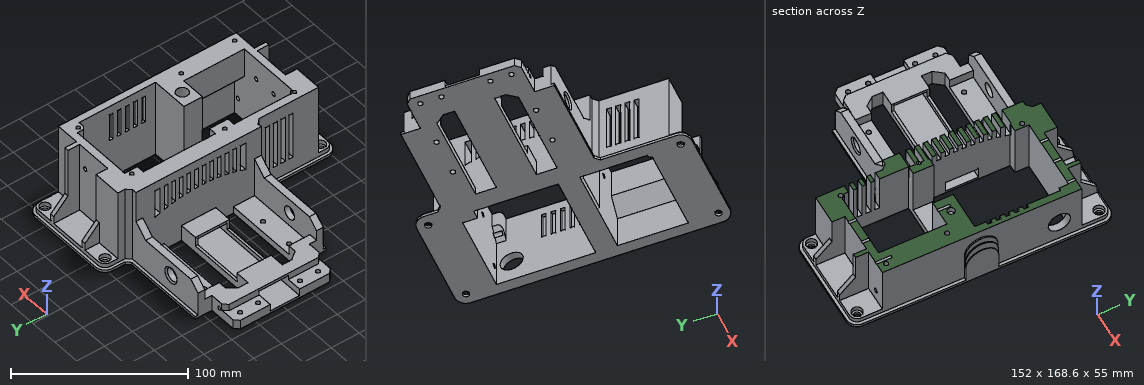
import cadquery as cq
import math

total_length = 152.0
total_width = 168.63
total_height = 55.0
flange_width = 2.0
flange_height = 2.0
foot_plate_height = 5.0
foot_depth = 10.2
overhang = foot_depth + flange_width

tower_left = 85.0
tower_right = total_length - flange_width
tower_back = 53.35
tower_front = tower_back + 2 * overhang - total_width
plate_back = tower_back + foot_depth
plate_front = tower_front - foot_depth
plate_corner_radius = 5.0
bay_left = 79.0
bay_half_width = 45.0
bay_corner_chamfer = 3.0
flange_corner_chamfer = 2.8

recess_depth = 8.3
recess_left = 104.8
rib_thickness = 2.9
middle_rib_left = 130.5
rib_slope = 10.2
rib_foot_height = 10.2

pocket_left = 90.3
large_pocket_right = 145.1
large_pocket_back = 39.9
large_pocket_front = -20.9
small_pocket_right = 136.2
small_pocket_back = -34.2
small_pocket_front = -77.6
undercut_top = 34.0
undercut_slope_bottom = 23.6
bridge_left = 95.8
bridge_right = 119.2
corner_pad_front = 30.8
hanging_boss_left = 139.0
hanging_boss_front = 33.9
hanging_boss_bottom_left = 44.2
hanging_boss_bottom_right = 35.8
hanging_boss_radius = 3.0
corner_post_radius = 2.2

arm_left = 22.2
arm_thickness = 4.9
arm_inner_y = bay_half_width - arm_thickness
arm_height = 24.8
arm_tip_height = 18.8
arm_tip_run = 6.6
arm_shoulder_start = 70.2
arm_shoulder_height = 33.0
arm_hole_x = 47.0
arm_hole_z = 14.6
arm_hole_diameter = 9.0
arm_hole_rim_diameter = 11.0
arm_hole_rim_depth = 1.0

nose_half_width = 35.0
nose_height = 6.7
nose_chamfer = 3.0
bar_left = 10.25
bar_right = 28.3
bar_height = 11.5
floor_height = 5.0
slot_left = 18.1
slot_inner_y = 12.3
slot_outer_y = 24.95
slot_chamfer_x = 4.5
slot_chamfer_y = 5.8
channel_half_width = 10.5
channel_floor = 1.8
channel_roof = 9.6
tray_end = 66.3
nose_hole_x = 5.4
nose_hole_ys = (27.9, 15.0)
nose_hole_diameter = 2.9
nose_side_hole_x = 15.6
nose_side_hole_z = 6.5
nose_side_hole_diameter = 2.4
nose_side_hole_depth = 2.0
floor_hole_xs = (35.2, 59.0)
floor_hole_y = 30.5
floor_hole_diameter = 3.0

foot_hole_diameter = 4.0
foot_counterbore_diameter = 6.8
foot_counterbore_depth = 3.0
screw_hole_diameter = 2.8
screw_hole_depth = 10.0
lid_hole_diameter = 2.6
lid_hole_depth = 20.0
drill_tip_angle = 118.0
lid_hole_positions = (
    (93.0, 37.0),
    (90.3, -27.6),
    (142.1, -37.0),
    (90.3, -77.6),
    (145.1, -77.6),
)
boss_hole_x = 142.1
boss_hole_y = 37.0
boss_hole_depth = 8.0
end_hole_positions = ((109.5, 39.7), (125.4, 39.7), (142.1, 39.7), (142.1, 13.0))
divider_hole_depth = 8.0
post_hole_x = 129.2
post_hole_y = -27.6
post_hole_diameter = 8.0
post_hole_depth = 10.0
post_pilot_diameter = 4.4
post_pilot_depth = 20.0

vent_width = 2.55
bay_vent_count = 12
bay_vent_pitch = 5.47
bay_vent_centre_y = -1.2
bay_vent_top = 48.5
bay_vent_end_bottom = 28.4
bay_vent_middle_bottom = 34.4
end_vent_extra_width = 1.25
side_vent_count = 4
side_vent_pitch = 5.6
side_vent_first_y = -54.2
side_vent_width = 3.0
side_vent_bottom = 12.0
side_vent_top = 45.4
rear_vent_count = 5
rear_vent_pitch = 5.8
rear_vent_first_y = 10.9
rear_vent_bottom = 29.1
rear_vent_top = 48.4
rear_vent_depth = 2.0
cable_hole_y = 30.6
cable_hole_z = 16.3
cable_hole_diameter = 14.0

arch_centre_y = -19.7
arch_radius = 10.5
arch_steps = ((0.9, 32.8), (1.6, 28.6), (flange_width, 23.6))


def box(x0, x1, y0, y1, z0, z1):
    """Block between two opposite corners."""
    return cq.Workplane("XY").box(x1 - x0, y1 - y0, z1 - z0, centered=False).translate((x0, y0, z0))


def prism_z(points, z0, z1):
    """Outline in XY, raised from z0 to z1."""
    return cq.Workplane("XY", origin=(0, 0, z0)).polyline(points).close().extrude(z1 - z0)


def prism_y(points, y0, y1):
    """Outline in XZ, swept from y0 to y1."""
    return cq.Workplane("XZ", origin=(0, y0, 0)).polyline(points).close().extrude(y0 - y1)


def prism_x(points, x0, x1):
    """Outline in YZ, swept from x0 to x1."""
    return cq.Workplane("YZ", origin=(x0, 0, 0)).polyline(points).close().extrude(x1 - x0)


def cylinder_z(x, y, diameter, z0, z1):
    return cq.Workplane("XY", origin=(x, y, z0)).circle(diameter / 2).extrude(z1 - z0)


def cylinder_y(x, z, diameter, y0, y1):
    return cq.Workplane("XZ", origin=(x, y0, z)).circle(diameter / 2).extrude(y0 - y1)


def cone_z(diameter, tip_diameter, length):
    """Cone or frustum standing on Z = 0 and narrowing downwards."""
    down = cq.Vector(0, 0, -1)
    return cq.Workplane(cq.Solid.makeCone(diameter / 2, tip_diameter / 2, length, dir=down))


def drill_tip(diameter):
    """Conical end of a drilled hole, its base at the origin and its point below."""
    length = diameter / 2 / math.tan(math.radians(drill_tip_angle / 2))
    return cone_z(diameter, 0, length)


def mirrored(shape):
    """The shape together with its mirror image across Y = 0."""
    return shape.union(shape.mirror("XZ"))


def inner_corners(wall_x, half_width, leg, height):
    """Chamfer wedges where the arms meet the tower."""
    wedge = prism_z(
        [(wall_x, half_width), (wall_x, half_width + leg), (wall_x - leg, half_width)], 0, height
    )
    return mirrored(wedge)


def make_base():
    """Foot plate of the tower with the low flange around it."""
    flange = box(
        tower_left - flange_width,
        total_length,
        plate_front - flange_width,
        plate_back + flange_width,
        0,
        flange_height,
    )
    flange = flange.edges("|Z").fillet(plate_corner_radius + flange_width)
    plate = box(tower_left, tower_right, plate_front, plate_back, 0, foot_plate_height)
    plate = plate.edges("|Z").fillet(plate_corner_radius)
    arm_flange_half_width = bay_half_width + flange_width
    arm_flange = box(
        arm_left, tower_left, -arm_flange_half_width, arm_flange_half_width, 0, flange_height
    )
    flange_corner = inner_corners(
        tower_left - flange_width, arm_flange_half_width, flange_corner_chamfer, flange_height
    )
    return flange.union(plate).union(arm_flange).union(flange_corner)


def make_tower():
    """Solid tower with recessed end walls, the bay towards the arms and the end ribs."""
    recess_back = tower_back - recess_depth
    recess_front = tower_front + recess_depth
    tower = box(tower_left, tower_right, recess_front, recess_back, 0, total_height)
    tower = tower.union(box(tower_left, recess_left, tower_front, tower_back, 0, total_height))
    tower = tower.union(box(bay_left, tower_left, -bay_half_width, bay_half_width, 0, total_height))
    tower = tower.union(inner_corners(tower_left, bay_half_width, bay_corner_chamfer, total_height))
    rib_right = middle_rib_left + rib_thickness
    tower = tower.union(box(middle_rib_left, rib_right, tower_front, tower_back, 0, total_height))
    for rib_left in (recess_left - rib_thickness, middle_rib_left):
        for wall_y, direction in ((tower_back, 1), (tower_front, -1)):
            tip_y = wall_y + direction * foot_depth
            outline = [
                (wall_y, 0),
                (tip_y, 0),
                (tip_y, rib_foot_height),
                (wall_y, rib_foot_height + rib_slope),
            ]
            tower = tower.union(prism_x(outline, rib_left, rib_left + rib_thickness))
    return tower


def make_large_pocket():
    """Large opening, less the corner pad and the hanging screw boss."""
    pocket = box(
        pocket_left, large_pocket_right, large_pocket_front, large_pocket_back, 0, total_height
    )
    pad = box(pocket_left, bridge_left, corner_pad_front, large_pocket_back, 0, total_height)
    boss = prism_y(
        [
            (hanging_boss_left, total_height),
            (large_pocket_right, total_height),
            (large_pocket_right, hanging_boss_bottom_right),
            (hanging_boss_left, hanging_boss_bottom_left),
        ],
        hanging_boss_front,
        large_pocket_back,
    )
    boss = boss.edges("|Z and <X and <Y").fillet(hanging_boss_radius)
    return pocket.cut(pad).cut(boss)


def make_small_pocket():
    """Small opening, widened towards the rear wall under a sloping roof."""
    outline = [
        (pocket_left, 0),
        (large_pocket_right, 0),
        (large_pocket_right, undercut_slope_bottom),
        (small_pocket_right, undercut_top),
        (small_pocket_right, total_height),
        (pocket_left, total_height),
    ]
    pocket = prism_y(outline, small_pocket_front, small_pocket_back)
    post = cylinder_z(pocket_left, small_pocket_front, 2 * corner_post_radius, 0, total_height)
    return pocket.cut(post)


def make_vents():
    """Slots through the bay and left walls, and grooves on the inside of the rear wall."""
    half_span = (bay_vent_count - 1) * bay_vent_pitch / 2 + vent_width / 2 + end_vent_extra_width
    rise = bay_vent_middle_bottom - bay_vent_end_bottom
    arc_radius = (half_span**2 + rise**2) / (2 * rise)
    window = (
        cq.Workplane("YZ", origin=(bay_left, bay_vent_centre_y, 0))
        .moveTo(-half_span, bay_vent_top)
        .lineTo(-half_span, bay_vent_end_bottom)
        .radiusArc((half_span, bay_vent_end_bottom), arc_radius)
        .lineTo(half_span, bay_vent_top)
        .close()
        .extrude(pocket_left - bay_left)
    )
    strips = cq.Workplane("XY")
    for index in range(bay_vent_count):
        offset = (index - (bay_vent_count - 1) / 2) * bay_vent_pitch
        low = bay_vent_centre_y + offset - vent_width / 2
        high = low + vent_width
        if index == 0:
            low -= end_vent_extra_width
        if index == bay_vent_count - 1:
            high += end_vent_extra_width
        strips = strips.union(box(bay_left, pocket_left, low, high, 0, total_height))
    vents = window.intersect(strips)
    for index in range(side_vent_count):
        low = side_vent_first_y - index * side_vent_pitch - side_vent_width / 2
        high = low + side_vent_width
        vents = vents.union(
            box(tower_left, pocket_left, low, high, side_vent_bottom, side_vent_top)
        )
    rear_vent_floor = large_pocket_right + rear_vent_depth
    for index in range(rear_vent_count):
        low = rear_vent_first_y - index * rear_vent_pitch - vent_width / 2
        high = low + vent_width
        vents = vents.union(
            box(large_pocket_right, rear_vent_floor, low, high, rear_vent_bottom, rear_vent_top)
        )
    return vents


def make_tower_holes():
    """Screw holes of the lid, end walls, divider and feet, and the cable opening."""
    holes = cylinder_z(
        post_hole_x, post_hole_y, post_hole_diameter, total_height - post_hole_depth, total_height
    )
    pilot_bottom = total_height - post_pilot_depth
    holes = holes.union(
        cylinder_z(post_hole_x, post_hole_y, post_pilot_diameter, pilot_bottom, total_height)
    )
    lid_holes = [(x, y, lid_hole_depth) for x, y in lid_hole_positions]
    lid_holes.append((boss_hole_x, boss_hole_y, boss_hole_depth))
    for x, y, depth in lid_holes:
        bottom = total_height - depth
        holes = holes.union(cylinder_z(x, y, lid_hole_diameter, bottom, total_height))
        holes = holes.union(drill_tip(lid_hole_diameter).translate((x, y, bottom)))
    for x, z in end_hole_positions:
        for start, end in (
            (tower_front, tower_front + recess_depth + screw_hole_depth),
            (tower_back - recess_depth - screw_hole_depth, tower_back),
        ):
            holes = holes.union(cylinder_y(x, z, screw_hole_diameter, start, end))
    divider_x, divider_z = end_hole_positions[1]
    holes = holes.union(
        cylinder_y(
            divider_x,
            divider_z,
            screw_hole_diameter,
            small_pocket_back,
            small_pocket_back + divider_hole_depth,
        )
    )
    for x in (tower_left + plate_corner_radius, tower_right - plate_corner_radius):
        for y in (plate_front + plate_corner_radius, plate_back - plate_corner_radius):
            counterbore_floor = foot_plate_height - foot_counterbore_depth
            holes = holes.union(cylinder_z(x, y, foot_hole_diameter, 0, foot_plate_height))
            holes = holes.union(
                cylinder_z(x, y, foot_counterbore_diameter, counterbore_floor, foot_plate_height)
            )
    cable_hole = (
        cq.Workplane("YZ", origin=(large_pocket_right, cable_hole_y, cable_hole_z))
        .circle(cable_hole_diameter / 2)
        .extrude(total_length - large_pocket_right)
    )
    return holes.union(cable_hole)


def make_rear_arch():
    """Stepped arched plate standing on the flange against the rear wall."""
    plate = cq.Workplane("XY")
    for thickness, apex in arch_steps:
        layer = (
            cq.Workplane("YZ", origin=(tower_right, arch_centre_y, 0))
            .moveTo(-arch_radius, 0)
            .lineTo(-arch_radius, apex - arch_radius)
            .threePointArc((0, apex), (arch_radius, apex - arch_radius))
            .lineTo(arch_radius, 0)
            .close()
            .extrude(thickness)
        )
        plate = plate.union(layer)
    return plate


def make_arms():
    """Pair of side arms with a rimmed cross hole."""
    outline = [
        (arm_left, 0),
        (bay_left, 0),
        (bay_left, arm_shoulder_height),
        (arm_shoulder_start, arm_height),
        (arm_left + arm_tip_run, arm_height),
        (arm_left, arm_tip_height),
    ]
    arm = prism_y(outline, arm_inner_y, bay_half_width)
    arm = arm.cut(cylinder_y(arm_hole_x, arm_hole_z, arm_hole_diameter, arm_inner_y, bay_half_width))
    rim = cone_z(arm_hole_rim_diameter, arm_hole_diameter, arm_hole_rim_depth)
    rim = rim.rotate((0, 0, 0), (1, 0, 0), -90).translate((arm_hole_x, bay_half_width, arm_hole_z))
    return mirrored(arm.cut(rim))


def chamfered_slab(left, right, height):
    """Slab as wide as the nose with its two leading corners cut off."""
    slab = box(left, right, -nose_half_width, nose_half_width, 0, height)
    return slab.edges("|Z and <X").chamfer(nose_chamfer)


def make_nose_and_floor():
    """Floor between the arms, nose step, cross bar, tray channel and slots."""
    body = box(arm_left, bay_left, -arm_inner_y, arm_inner_y, 0, floor_height)
    body = body.union(box(arm_left, bar_right, -arm_inner_y, arm_inner_y, 0, bar_height))
    body = body.union(chamfered_slab(0, bar_right, nose_height))
    body = body.union(chamfered_slab(bar_left, bar_right, bar_height))
    body = body.union(box(tray_end, bay_left, -slot_inner_y, slot_inner_y, 0, bar_height))
    slot = prism_z(
        [
            (slot_left, slot_inner_y),
            (bay_left, slot_inner_y),
            (bay_left, slot_outer_y),
            (slot_left + slot_chamfer_x, slot_outer_y),
            (slot_left, slot_outer_y - slot_chamfer_y),
        ],
        0,
        bar_height,
    )
    holes = cylinder_y(
        nose_side_hole_x,
        nose_side_hole_z,
        nose_side_hole_diameter,
        nose_half_width - nose_side_hole_depth,
        nose_half_width,
    )
    tip = drill_tip(nose_side_hole_diameter).rotate((0, 0, 0), (1, 0, 0), -90)
    tip_y = nose_half_width - nose_side_hole_depth
    holes = holes.union(tip.translate((nose_side_hole_x, tip_y, nose_side_hole_z)))
    for y in nose_hole_ys:
        holes = holes.union(cylinder_z(nose_hole_x, y, nose_hole_diameter, 0, nose_height))
    for x in floor_hole_xs:
        holes = holes.union(cylinder_z(x, floor_hole_y, floor_hole_diameter, 0, floor_height))
    return body.cut(mirrored(slot)).cut(mirrored(holes))


bridge_gap = box(
    bridge_left, bridge_right, small_pocket_back, large_pocket_front, foot_plate_height, total_height
)

tower = make_base().union(make_tower()).union(make_rear_arch())
tower = tower.cut(make_large_pocket()).cut(make_small_pocket()).cut(bridge_gap)
tower = tower.cut(make_vents()).cut(make_tower_holes())

tower = tower.cut(box(arm_left, bay_left, -arm_inner_y, arm_inner_y, 0, flange_height))

cable_channel = box(
    0, pocket_left, -channel_half_width, channel_half_width, channel_floor, channel_roof
)

result = tower.union(make_arms()).union(make_nose_and_floor()).cut(cable_channel).clean()